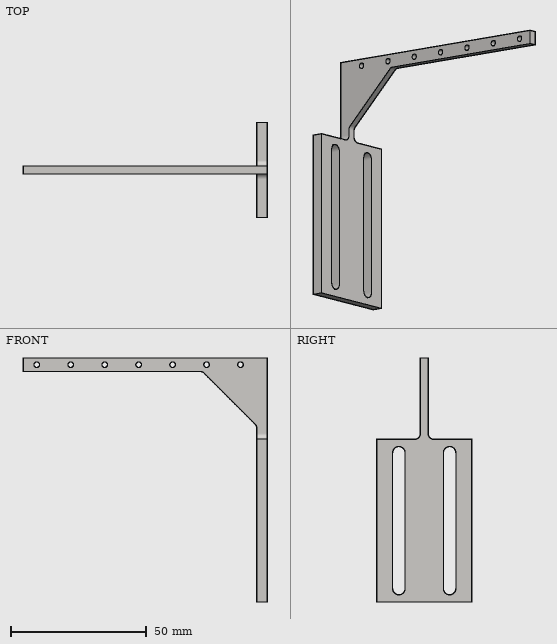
import cadquery as cq

span = 90.0
height = 90.0

web_thickness = 3.0
arm_height = 5.0
gusset_leg = 20.0
blend_radius = 2.0

plate_thickness = 4.0
plate_width = 35.0
plate_height = 60.0
plate_top = plate_height - height

slot_width = 4.5
slot_length = 54.5
slot_spacing = 18.7

hole_diameter = 2.0
hole_count = 7
hole_pitch = 12.5
hole_end_distance = 5.0


def make_web():
    """Arm, 45 degree gusset and neck, with rounded inside corners."""
    web = (
        cq.Workplane("XZ")
        .moveTo(-span, 0)
        .lineTo(0, 0)
        .lineTo(0, plate_top)
        .lineTo(-plate_thickness, plate_top)
        .lineTo(-plate_thickness, -arm_height - gusset_leg)
        .lineTo(-plate_thickness - gusset_leg, -arm_height)
        .lineTo(-span, -arm_height)
        .close()
        .extrude(web_thickness / 2, both=True)
    )
    for x, z in (
        (-plate_thickness, -arm_height - gusset_leg),
        (-plate_thickness - gusset_leg, -arm_height),
    ):
        corner = cq.selectors.NearestToPointSelector((x, 0, z))
        web = web.edges("|Y").edges(corner).fillet(blend_radius)
    return web


def make_plate():
    """Upright plate below the neck."""
    return cq.Workplane("XY").box(
        plate_thickness, plate_width, plate_height, centered=(False, True, False)
    ).translate((-plate_thickness, 0, -height))


def blend_neck(body):
    """Round the two inside corners where the neck meets the plate."""
    for side in (-1, 1):
        corner = cq.selectors.NearestToPointSelector(
            (-plate_thickness / 2, side * web_thickness / 2, plate_top)
        )
        body = body.edges("|X").edges(corner).fillet(blend_radius)
    return body


def make_slots():
    """Cutters for the two vertical slots through the plate."""
    slot_center_z = plate_top - plate_height / 2
    return (
        cq.Workplane("YZ")
        .pushPoints([(side * slot_spacing / 2, slot_center_z) for side in (-1, 1)])
        .slot2D(slot_length, slot_width, 90)
        .extrude(-plate_thickness)
    )


def make_arm_holes():
    """Cutters for the evenly spaced holes through the arm."""
    first_x = -span + hole_end_distance
    centers = [(first_x + i * hole_pitch, -arm_height / 2) for i in range(hole_count)]
    return (
        cq.Workplane("XZ")
        .pushPoints(centers)
        .circle(hole_diameter / 2)
        .extrude(web_thickness, both=True)
    )


body = blend_neck(make_web().union(make_plate()))
result = body.cut(make_slots()).cut(make_arm_holes())